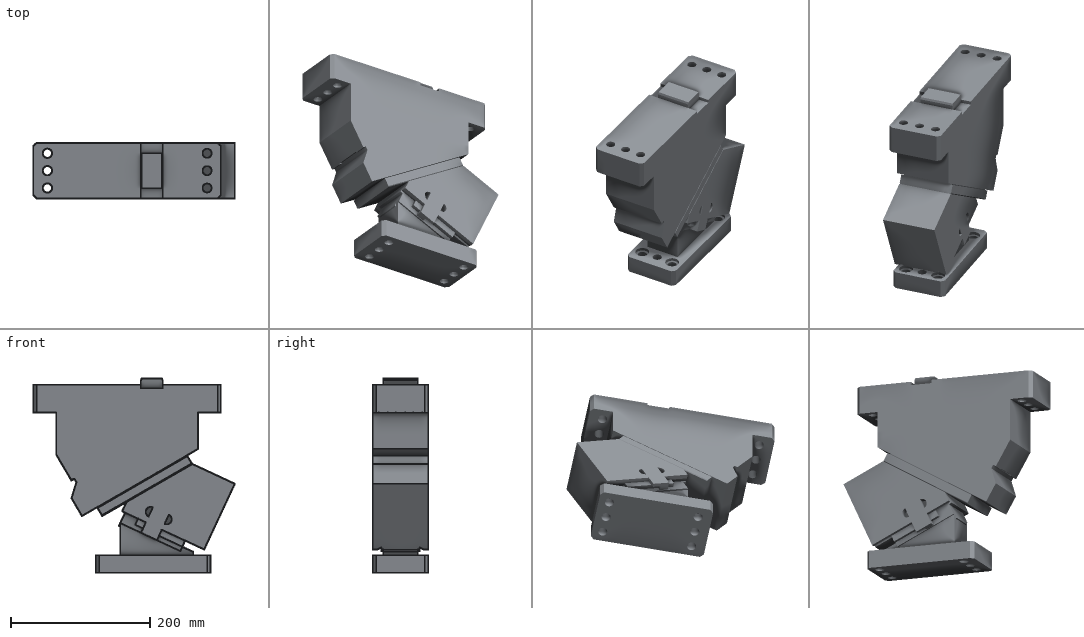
import cadquery as cq
import math


TOTAL_LENGTH = 289.8
WIDTH = 80.0
CORNER_CHAMFER = 5.0
HOLE_PITCH = 25.0
HOLE_DIAMETER = 13.0
OVERSHOOT = 14.5

TOTAL_HEIGHT = 279.0
KEY_RISE = 9.0
HOLDER_TOP = TOTAL_HEIGHT - KEY_RISE
HOLDER_LENGTH = 269.8
HOLDER_PLATE = 40.0
HOLDER_HOLE_X = (20.5, 249.8)
BODY_LEFT = 33.0
BODY_RIGHT = 237.0
BODY_LEFT_BOTTOM = 169.8
NOSE_LEFT = 55.0
NOSE_TOP = 107.2
NOTCH_TIP_Z = 132.5
NOTCH_ROOT = (59.0, 135.0)
NOTCH_INNER = (62.0, 130.0)
LIP_RELIEF_WIDTH = 42.0
LIP_RELIEF_RISE = 1.5
KEY_LEFT = 154.5
KEY_LENGTH = 32.0
KEY_WIDTH = 49.8
KEY_SLOT_DEPTH = 5.0
KEY_BEVEL_RUN = 1.5
KEY_BEVEL_DROP = 3.0

SLIDE_ANGLE = 30.0
SLIDE_TIP = (70.0, 81.5)
HOLDER_TIP_RUN = BODY_RIGHT - SLIDE_TIP[0]
BODY_RIGHT_BOTTOM = SLIDE_TIP[1] + HOLDER_TIP_RUN * math.tan(math.radians(SLIDE_ANGLE))

SLIDER_TILT = 25.0
SLIDER_ORIGIN = (127.8, 88.5)
SLIDER_LENGTH = 130.0
SLIDER_TILT_RAD = math.radians(SLIDER_TILT)
SLIDER_REACH = TOTAL_LENGTH - SLIDER_ORIGIN[0] - SLIDER_LENGTH * math.cos(SLIDER_TILT_RAD)
SLIDER_HEIGHT = SLIDER_REACH / math.sin(SLIDER_TILT_RAD)
STRIP_START = 25.2
STRIP_LENGTH = 149.2
STRIP_DEPTH = 14.5
STRIP_EDGE_CHAMFER = 1.2
PAD_HEIGHT = 1.0
PAD_INSET = 3.0

FOOT_START = 4.5
FOOT_END = 100.0
FOOT_WIDTH = 55.0
FOOT_DEPTH = 16.5
KEEL_WIDTH = 40.0
KEEL_DEPTH = 21.2

RAIL_START = 25.2
RAIL_DEPTH = 9.5
RAIL_OUTER = 33.5
RAIL_RELIEF = 3.0

STRAP_START = 37.7
STRAP_WIDTH = 25.2
STRAP_INNER = 34.8
HOOK_INNER = 28.5
RELIEF_HOLE_RADIUS = 7.2
RELIEF_HOLE_V = 16.5

BASE_LEFT = 89.8
BASE_LENGTH = 165.2
BASE_HEIGHT = 25.5
BASE_HOLE_INSET = 20.0
BASE_HOLE_SPAN = 129.8
COUNTERBORE_DIAMETER = 20.0
COUNTERBORE_DEPTH = 4.3
POST_LEFT = 125.0
POST_RIGHT = 230.0
POST_WIDTH = 49.8


def tilted_plane(origin, angle):
    """Plane in the X-Z section whose local x axis climbs at the given angle; local z points to -Y."""
    slope = math.radians(angle)
    return cq.Plane(
        origin=(origin[0], 0, origin[1]),
        xDir=(math.cos(slope), 0, math.sin(slope)),
        normal=(0, -1, 0),
    )


SECTION = tilted_plane((0, 0), 0)
SLIDE_PLANE = tilted_plane(SLIDE_TIP, SLIDE_ANGLE)
SLIDER_PLANE = tilted_plane(SLIDER_ORIGIN, -SLIDER_TILT)


def centred_profile(plane, points, width):
    """Closed polygon extruded symmetrically about Y = 0."""
    return cq.Workplane(plane).polyline(points).close().extrude(width / 2, both=True)


def bar(plane, x_range, y_range, width):
    """Rectangular bar in a section plane, symmetric about Y = 0."""
    x0, x1 = x_range
    y0, y1 = y_range
    return centred_profile(plane, [(x0, y0), (x1, y0), (x1, y1), (x0, y1)], width)


def side_block(u_range, v_range, y_range, side):
    """Block in the slider frame on one side of Y = 0 (side is +1 or -1)."""
    u0, u1 = u_range
    v0, v1 = v_range
    y0, y1 = y_range
    return (
        cq.Workplane(SLIDER_PLANE)
        .workplane(offset=side * y0)
        .moveTo(u0, v0)
        .rect(u1 - u0, v1 - v0, centered=False)
        .extrude(side * (y1 - y0))
    )


def side_prism(u_range, section, side):
    """Prism along u from (y, v) section points, on one side of Y = 0."""
    u0, u1 = u_range
    plane = cq.Plane(
        origin=SLIDER_PLANE.toWorldCoords((u0, 0, 0)),
        xDir=(0, -1, 0),
        normal=SLIDER_PLANE.xDir.multiply(-1),
    )
    points = [(side * y, v) for y, v in section]
    return cq.Workplane(plane).polyline(points).close().extrude(u0 - u1)


def mounting_plate(left, length, bottom, height):
    """Rectangular plate with chamfered vertical corners."""
    return (
        cq.Workplane("XY", origin=(left + length / 2, 0, bottom))
        .rect(length, WIDTH)
        .extrude(height)
        .edges("|Z")
        .chamfer(CORNER_CHAMFER)
    )


def make_holder():
    plate_bottom = HOLDER_TOP - HOLDER_PLATE
    holder = mounting_plate(0, HOLDER_LENGTH, plate_bottom, HOLDER_PLATE)

    body = centred_profile(
        SECTION,
        [
            (BODY_LEFT, plate_bottom),
            (BODY_LEFT, BODY_LEFT_BOTTOM),
            (NOSE_LEFT, NOTCH_TIP_Z),
            NOTCH_ROOT,
            NOTCH_INNER,
            (NOSE_LEFT, NOSE_TOP),
            SLIDE_TIP,
            (BODY_RIGHT, BODY_RIGHT_BOTTOM),
            (BODY_RIGHT, plate_bottom),
        ],
        WIDTH,
    )
    holder = holder.union(body)

    lip_run = NOTCH_ROOT[0] - NOSE_LEFT
    lip_rise = NOTCH_ROOT[1] - NOTCH_TIP_Z
    lip_relief = centred_profile(
        SECTION,
        [
            (NOSE_LEFT - lip_run, NOTCH_TIP_Z - lip_rise),
            NOTCH_ROOT,
            (NOTCH_ROOT[0], NOTCH_ROOT[1] + LIP_RELIEF_RISE),
            (NOSE_LEFT - lip_run, NOTCH_TIP_Z - lip_rise + LIP_RELIEF_RISE),
        ],
        LIP_RELIEF_WIDTH,
    )
    holder = holder.cut(lip_relief)

    slot_floor = HOLDER_TOP - KEY_SLOT_DEPTH
    key_right = KEY_LEFT + KEY_LENGTH
    slot = bar(SECTION, (KEY_LEFT, key_right), (slot_floor, HOLDER_TOP), WIDTH)
    key = centred_profile(
        SECTION,
        [
            (KEY_LEFT, slot_floor),
            (key_right, slot_floor),
            (key_right, TOTAL_HEIGHT - KEY_BEVEL_DROP),
            (key_right - KEY_BEVEL_RUN, TOTAL_HEIGHT),
            (KEY_LEFT + KEY_BEVEL_RUN, TOTAL_HEIGHT),
            (KEY_LEFT, TOTAL_HEIGHT - KEY_BEVEL_DROP),
        ],
        KEY_WIDTH,
    )
    holder = holder.cut(slot).union(key)

    hole_places = [(x, row * HOLE_PITCH) for x in HOLDER_HOLE_X for row in (-1, 0, 1)]
    holes = (
        cq.Workplane("XY", origin=(0, 0, plate_bottom))
        .pushPoints(hole_places)
        .circle(HOLE_DIAMETER / 2)
        .extrude(HOLDER_PLATE)
    )
    return holder.cut(holes)


def make_strip():
    """Wear strip along the slide face, with a raised pad that meets the holder."""
    strip_end = STRIP_START + STRIP_LENGTH
    strip = bar(SLIDE_PLANE, (STRIP_START, strip_end), (-STRIP_DEPTH, -PAD_HEIGHT), WIDTH)
    lower_face_direction = SLIDE_PLANE.yDir.multiply(-1)
    strip = (
        strip.faces(cq.selectors.DirectionMinMaxSelector(lower_face_direction, True))
        .edges(cq.selectors.ParallelDirSelector(SLIDE_PLANE.xDir))
        .chamfer(STRIP_EDGE_CHAMFER)
    )
    pad = bar(
        SLIDE_PLANE,
        (STRIP_START + PAD_INSET, strip_end - PAD_INSET),
        (-PAD_HEIGHT, 0),
        WIDTH - 2 * PAD_INSET,
    )
    return strip.union(pad)


def add_side_guides(slider, side):
    """Rail, hooked strap and strap relief holes on one side of the slider."""
    half_foot = FOOT_WIDTH / 2
    half_width = WIDTH / 2
    strap_end = STRAP_START + STRAP_WIDTH

    relief_section = [(half_foot, 0), (RAIL_OUTER, 0), (half_foot, RAIL_RELIEF)]
    slider = slider.cut(side_prism((0, SLIDER_LENGTH), relief_section, side))

    rail_section = [
        (half_foot, -RAIL_DEPTH),
        (RAIL_OUTER, -RAIL_DEPTH),
        (RAIL_OUTER, 0),
        (half_foot, RAIL_RELIEF),
    ]
    slider = slider.union(side_prism((RAIL_START, FOOT_END), rail_section, side))

    for pocket_u in (STRAP_START, strap_end):
        pocket = (
            cq.Workplane(SLIDER_PLANE)
            .workplane(offset=side * HOOK_INNER)
            .center(pocket_u, RELIEF_HOLE_V)
            .circle(RELIEF_HOLE_RADIUS)
            .extrude(side * (half_width - HOOK_INNER))
        )
        strap_core = side_block(
            (STRAP_START, strap_end),
            (0, RELIEF_HOLE_V + 2 * RELIEF_HOLE_RADIUS),
            (HOOK_INNER, half_width),
            side,
        )
        slider = slider.cut(pocket.cut(strap_core))

    strap = side_block((STRAP_START, strap_end), (-FOOT_DEPTH, 0), (STRAP_INNER, half_width), side)
    hook = side_block(
        (STRAP_START, STRAP_START + STRAP_WIDTH / 2),
        (-FOOT_DEPTH, -RAIL_DEPTH),
        (HOOK_INNER, half_width),
        side,
    )
    return slider.union(strap).union(hook)


def make_slider():
    block = bar(SLIDER_PLANE, (0, SLIDER_LENGTH), (0, SLIDER_HEIGHT), WIDTH)
    above_strip = bar(SLIDE_PLANE, (0, HOLDER_LENGTH), (-STRIP_DEPTH, SLIDER_HEIGHT), WIDTH)
    foot = bar(SLIDER_PLANE, (FOOT_START, FOOT_END), (-FOOT_DEPTH, 0), FOOT_WIDTH)
    keel = bar(SLIDER_PLANE, (FOOT_START, FOOT_END), (-KEEL_DEPTH, 0), KEEL_WIDTH)
    slider = block.cut(above_strip).union(make_strip()).union(foot).union(keel)
    for side in (-1, 1):
        slider = add_side_guides(slider, side)
    return slider


def make_base():
    base = mounting_plate(BASE_LEFT, BASE_LENGTH, 0, BASE_HEIGHT)

    def post_top(x):
        drop = (x - SLIDER_ORIGIN[0]) * math.tan(SLIDER_TILT_RAD)
        return SLIDER_ORIGIN[1] - drop - RAIL_DEPTH / math.cos(SLIDER_TILT_RAD)

    post = centred_profile(
        SECTION,
        [
            (POST_LEFT, 0),
            (POST_RIGHT, 0),
            (POST_RIGHT, post_top(POST_RIGHT)),
            (POST_LEFT, post_top(POST_LEFT)),
        ],
        POST_WIDTH,
    )

    seat = bar(SLIDER_PLANE, (-OVERSHOOT, FOOT_END), (-FOOT_DEPTH, 0), FOOT_WIDTH)
    groove = bar(SLIDER_PLANE, (-OVERSHOOT, FOOT_END), (-KEEL_DEPTH, 0), KEEL_WIDTH)
    base = base.union(post.cut(seat).cut(groove))

    first_row = BASE_LEFT + BASE_HOLE_INSET
    for x in (first_row, first_row + BASE_HOLE_SPAN):
        for row in (-1, 0, 1):
            place = cq.Workplane("XY", origin=(x, row * HOLE_PITCH, BASE_HEIGHT))
            base = base.cut(place.circle(HOLE_DIAMETER / 2).extrude(-BASE_HEIGHT))
            if row != 0:
                base = base.cut(place.circle(COUNTERBORE_DIAMETER / 2).extrude(-COUNTERBORE_DEPTH))
    return base


holder = make_holder().solids()
slider = make_slider().solids()
base = make_base().solids()

result = cq.Compound.makeCompound([holder.val(), slider.val(), base.val()])